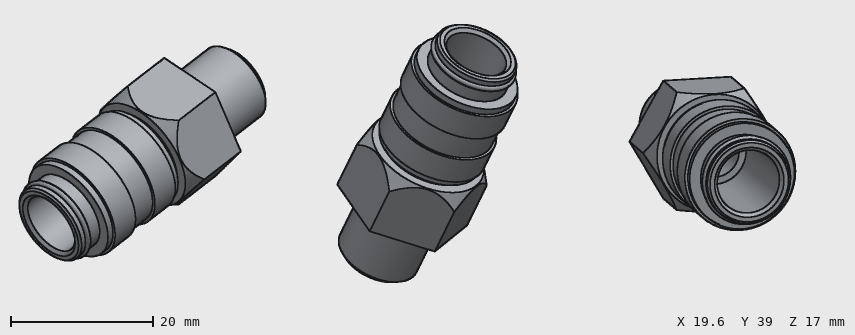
import cadquery as cq
import math

TOTAL_LENGTH = 39.0
SPIGOT_LENGTH = 10.0
HEX_LENGTH = 9.95
HEX_BACK = TOTAL_LENGTH - SPIGOT_LENGTH
HEX_FRONT = HEX_BACK - HEX_LENGTH

HEX_ACROSS_FLATS = 17.0
HEX_ACROSS_CORNERS = HEX_ACROSS_FLATS / math.cos(math.radians(30))
HEX_CHAMFER_RADIUS = 8.42
HEX_CHAMFER_ANGLE = 60.0

SPIGOT_RADIUS = 6.0
SPIGOT_CHAMFER = 0.78

NOSE_RADIUS = 6.0
NOSE_CHAMFER = 0.3
BEAD_Y = 1.55
BEAD_SECTION_RADIUS = 0.45
BEAD_OUTER_RADIUS = 6.4

SLEEVE_RADIUS = 7.6
SLEEVE_FRONT = 4.0
SLEEVE_BACK = 18.45
COLLAR_RADIUS = 8.05
COLLAR_LENGTH = 4.2
COLLAR_INSET = 1.0
NECK_RADIUS = 6.9

BORE_RADIUS = 3.5
SOCKET_RADIUS = 4.52
SOCKET_DEPTH = HEX_FRONT
SOCKET_CHAMFER = 0.5


def cylinder(radius, y_start, y_end):
    """Solid cylinder on the Y axis."""
    sketch = cq.Workplane("XZ", origin=(0, y_start, 0)).circle(radius)
    return sketch.extrude(y_start - y_end)


def revolve_profile(points):
    """Revolve a closed (radius, y) outline about the Y axis."""
    return cq.Workplane("XY").polyline(points).close().revolve(360, (0, 0), (0, 1))


def make_hexagon():
    """Hexagon with corners on the X axis and conically chamfered front corners."""
    sketch = cq.Workplane("XZ", origin=(0, HEX_FRONT, 0)).polygon(6, HEX_ACROSS_CORNERS)
    hexagon = sketch.extrude(-HEX_LENGTH)
    cone_back_radius = HEX_CHAMFER_RADIUS + HEX_LENGTH / math.tan(math.radians(HEX_CHAMFER_ANGLE))
    cone = revolve_profile([
        (0, HEX_FRONT),
        (HEX_CHAMFER_RADIUS, HEX_FRONT),
        (cone_back_radius, HEX_BACK),
        (0, HEX_BACK),
    ])
    return hexagon.intersect(cone)


def make_spigot():
    spigot = cylinder(SPIGOT_RADIUS, HEX_BACK, TOTAL_LENGTH)
    return spigot.faces(">Y").chamfer(SPIGOT_CHAMFER)


def make_nose():
    nose = cylinder(NOSE_RADIUS, 0, SLEEVE_FRONT)
    nose = nose.faces("<Y").chamfer(NOSE_CHAMFER)
    bead_center_radius = BEAD_OUTER_RADIUS - BEAD_SECTION_RADIUS
    bead = (
        cq.Workplane("XY")
        .center(bead_center_radius, BEAD_Y)
        .circle(BEAD_SECTION_RADIUS)
        .revolve(360, (-bead_center_radius, 0), (-bead_center_radius, 1))
    )
    return nose.union(bead)


def make_sleeve():
    sleeve = cylinder(SLEEVE_RADIUS, SLEEVE_FRONT, SLEEVE_BACK)
    front_collar_start = SLEEVE_FRONT + COLLAR_INSET
    back_collar_start = SLEEVE_BACK - COLLAR_INSET - COLLAR_LENGTH
    for start in (front_collar_start, back_collar_start):
        sleeve = sleeve.union(cylinder(COLLAR_RADIUS, start, start + COLLAR_LENGTH))
    return sleeve


def make_bore():
    """Through bore with a wider, chamfered socket at the front."""
    return revolve_profile([
        (0, 0),
        (SOCKET_RADIUS + SOCKET_CHAMFER, 0),
        (SOCKET_RADIUS, SOCKET_CHAMFER),
        (SOCKET_RADIUS, SOCKET_DEPTH),
        (BORE_RADIUS, SOCKET_DEPTH),
        (BORE_RADIUS, TOTAL_LENGTH),
        (0, TOTAL_LENGTH),
    ])


neck = cylinder(NECK_RADIUS, SLEEVE_BACK, HEX_FRONT)
body = make_hexagon().union(make_spigot()).union(neck).union(make_sleeve()).union(make_nose())
result = body.cut(make_bore())